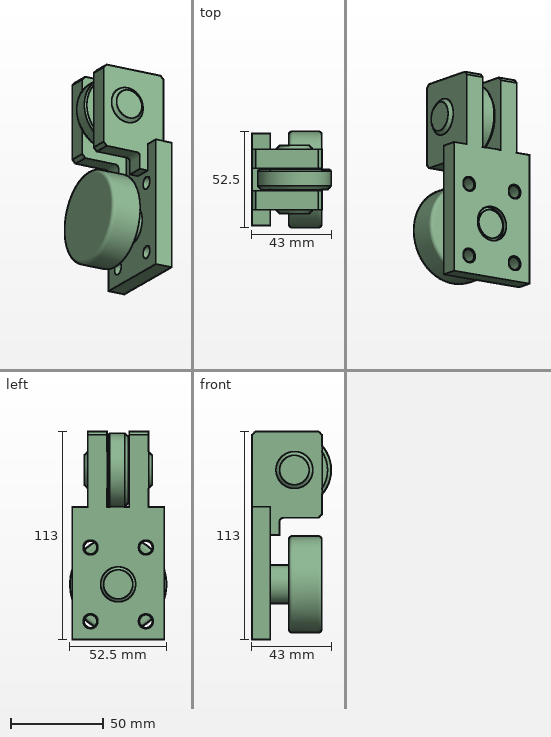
import cadquery as cq

plate_thickness = 10.0
plate_width = 50.0
plate_height = 72.0

screw_pitch_y = 30.0
screw_pitch_z = 40.0
screw_diameter = 7.0
screw_chamfer = 0.5

overall_height = 113.0
cheek_depth = 38.0
cheek_thickness = 10.5
fork_gap = 12.0
fork_width = fork_gap + 2 * cheek_thickness
cheek_bottom = 66.0
cheek_chamfer = 2.0
foot_depth = 15.0
foot_bottom = 56.7
foot_fillet = 2.0

roller_radius = 20.0
roller_width = 11.0
roller_axis_x = 23.0
roller_axis_z = plate_height + roller_radius
roller_front_chamfer = 2.0
roller_rear_chamfer = 1.0

pin_diameter = 20.0
pin_chamfer = 2.0
pin_length = fork_width + 2 * pin_chamfer

wheel_diameter = 52.5
wheel_width = 18.0
wheel_start = 19.9
wheel_fillet = 2.0
wheel_axis_z = 30.0
hub_diameter = 21.0

stud_diameter = 19.0
stud_chamfer = 1.6
stud_recess = 1.0


def cylinder_x(diameter, start, length):
    """Cylinder on the load wheel axis, running in +X from start."""
    plane = cq.Workplane("YZ", origin=(start, 0, wheel_axis_z))
    return plane.circle(diameter / 2).extrude(length)


def cylinder_y(diameter, length):
    """Cylinder on the guide roller axis, centred on Y = 0."""
    plane = cq.Workplane("XZ", origin=(roller_axis_x, 0, roller_axis_z))
    return plane.circle(diameter / 2).extrude(length / 2, both=True)


def make_plate():
    plate = cq.Workplane("XY").box(
        plate_thickness, plate_width, plate_height, centered=(False, True, False)
    )
    holes = (
        cq.Workplane("YZ", origin=(0, 0, wheel_axis_z))
        .rarray(screw_pitch_y, screw_pitch_z, 2, 2)
        .circle(screw_diameter / 2)
        .extrude(plate_thickness)
    )
    return plate.cut(holes).faces("<X").edges("%CIRCLE").chamfer(screw_chamfer)


def make_fork():
    """Two cheeks, each with a short foot running down the front of the plate."""
    block = (
        cq.Workplane("XZ")
        .moveTo(0, foot_bottom)
        .lineTo(foot_depth, foot_bottom)
        .lineTo(foot_depth, cheek_bottom)
        .lineTo(cheek_depth, cheek_bottom)
        .lineTo(cheek_depth, overall_height)
        .lineTo(0, overall_height)
        .close()
        .extrude(fork_width / 2, both=True)
    )
    block = block.edges("|Y and >Z").chamfer(cheek_chamfer)
    lower_corner = cq.selectors.NearestToPointSelector((cheek_depth, 0, cheek_bottom))
    block = block.edges("|Y").edges(lower_corner).chamfer(cheek_chamfer)
    inner_corner = cq.selectors.NearestToPointSelector((foot_depth, 0, cheek_bottom))
    block = block.edges("|Y").edges(inner_corner).fillet(foot_fillet)
    gap = cq.Workplane("XY").box(
        cheek_depth, fork_gap, overall_height, centered=(False, True, False)
    )
    return block.cut(gap)


def make_guide_roller():
    roller = cylinder_y(2 * roller_radius, roller_width)
    roller = roller.faces("<Y").edges().chamfer(roller_front_chamfer)
    roller = roller.faces(">Y").edges().chamfer(roller_rear_chamfer)
    pin = cylinder_y(pin_diameter, pin_length).faces("<Y or >Y").edges().chamfer(pin_chamfer)
    return roller.union(pin)


def make_load_wheel():
    wheel = cylinder_x(wheel_diameter, wheel_start, wheel_width).edges().fillet(wheel_fillet)
    hub = cylinder_x(hub_diameter, plate_thickness, wheel_start - plate_thickness)
    return wheel.union(hub)


def make_stud_recess():
    """Empty part of the stud bore: in front of the stud end and around its chamfer."""
    bore = cylinder_x(stud_diameter, 0, stud_recess + stud_chamfer)
    stud = cylinder_x(stud_diameter, stud_recess, plate_thickness)
    return bore.cut(stud.faces("<X").edges().chamfer(stud_chamfer))


result = (
    make_plate()
    .union(make_fork())
    .union(make_load_wheel())
    .union(make_guide_roller())
    .cut(make_stud_recess())
)